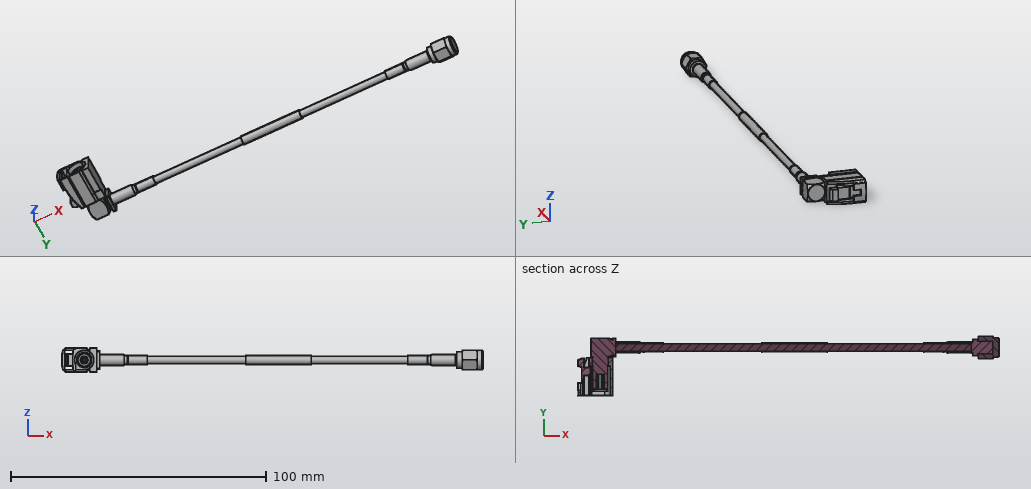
import cadquery as cq
import math

TOTAL_LENGTH = 165.1

CABLE_RADIUS = 1.5
SLEEVE_RADIUS = 1.8
LABEL_START = 72.2
LABEL_LENGTH = 25.6
SHRINK_LENGTH = 8.0
SHRINK_EDGE = 0.3

FERRULE_DIAMETER = 4.5
FERRULE_RADIUS = FERRULE_DIAMETER / 2
FERRULE_LENGTH = 9.5
FERRULE_EDGE_LENGTH = 0.7
FERRULE_EDGE_DEPTH = 0.2
NECK_RADIUS = SLEEVE_RADIUS
NECK_LENGTH = 1.2

HOUSING_WIDTH = 13.7
HOUSING_HEIGHT = 9.4
HOUSING_TOP = HOUSING_HEIGHT / 2
HOUSING_BACK = -4.0
HOUSING_FRONT = -18.8
CAVITY_RADIUS = 3.8
CAVITY_DEPTH = 11.5
CAVITY_CORNER_WIDTH = 3.3
SIDE_CHAMFER_WIDTH = 1.2
SIDE_CHAMFER_DROP = 1.0
SIDE_BULGE = 0.3
WINDOW_LEFT = 1.2
WINDOW_RIGHT = 4.3
WINDOW_HEIGHT = 7.6
BRIDGE_LENGTH = 5.0
BRIDGE_NOTCH_WIDTH = 2.5
BRIDGE_NOTCH_DEPTH = 2.8
RAIL_FRONT_X = 1.5
RAIL_BACK_X = 3.5
RAIL_MIDDLE_X = 2.0
ARM_WIDTH = 4.8
ARM_OUTER_X = 1.5
ARM_THICKNESS = 1.0
ARM_ROOT_LENGTH = 3.3
ARM_STEP_START = 8.3
ARM_STEP_LENGTH = 0.7
ARM_STEP_DEPTH = 0.5
BUTTON_START = 0.3
BUTTON_FLAT_START = 1.0
BUTTON_FLAT_END = 3.3
BUTTON_END = 3.8
GROOVE_X = 5.0
GROOVE_WIDTH = 0.7
GROOVE_DEPTH = 0.5
KEYWAY_LEFT = 9.7
KEYWAY_BOTTOM = 10.5
KEYWAY_RIGHT = 11.0
KEYWAY_DEPTH = 1.3
REAR_ROUND_LENGTH = 4.0
REAR_ROUND_PEAK_DROP = 0.7
REAR_ROUND_EDGE_DROP = 1.2

ELBOW_START = 5.1
ELBOW_END = 12.4
ELBOW_SIZE = 7.3
ELBOW_TURNED_RADIUS = 3.5
ELBOW_TURNED_SLOPE = 0.6
ELBOW_COLLAR_LENGTH = 0.7
ELBOW_NECK_RADIUS = 3.1
FLANGE_START = 13.7
FLANGE_END = 14.9
FLANGE_CHAMFER = 0.5
BARREL_X = 8.8
BARREL_RADIUS = 3.0
BARREL_COUNTERBORE_RADIUS = 2.5
BARREL_COUNTERBORE_DEPTH = 0.8
BARREL_SETBACK = 1.7
BARREL_BORE_RADIUS = 1.5
CONTACT_RADIUS = 1.0
CONTACT_SOCKET_RADIUS = 0.5
BARREL_BORE_DEPTH = 6.6

PLUG_BARREL_LENGTH = 0.5
PLUG_BARREL_RADIUS = FERRULE_RADIUS
PLUG_FLANGE_LENGTH = 2.1
PLUG_FLANGE_RADIUS = 3.3
SPIGOT_RADIUS = 2.5
NUT_LENGTH = 8.3
NUT_HEX_LENGTH = 6.0
NUT_CORNER_RADIUS = 4.5
NUT_CORNER_CHAMFER = 0.3
NUT_ROUND_DIAMETER = 7.8
NUT_ROUND_RADIUS = NUT_ROUND_DIAMETER / 2
NUT_END_CHAMFER = 0.5

NUT_START = TOTAL_LENGTH - NUT_LENGTH
PLUG_FLANGE_START = NUT_START - PLUG_FLANGE_LENGTH
PLUG_START = PLUG_FLANGE_START - PLUG_BARREL_LENGTH


def rod(start, length, radius):
    """Cylinder on the cable axis."""
    return cq.Workplane("YZ", origin=(start, 0, 0)).circle(radius).extrude(length)


def y_rod(start, end, radius):
    """Cylinder on the mating axis of the elbow, between two Y positions."""
    plane = cq.Plane(origin=(BARREL_X, start, 0), xDir=(1, 0, 0), normal=(0, -1, 0))
    return cq.Workplane(plane).circle(radius).extrude(start - end)


def box(x_range, y_range, height):
    """Block between X and Y limits, centred on Z = 0."""
    x0, x1 = x_range
    y0, y1 = y_range
    centre = ((x0 + x1) / 2, (y0 + y1) / 2, 0)
    return cq.Workplane("XY", origin=centre).box(x1 - x0, y1 - y0, height)


def housing_section():
    """XZ workplane on the back of the housing, extruding towards its mating face."""
    return cq.Workplane(cq.Plane(origin=(0, HOUSING_BACK, 0), xDir=(1, 0, 0), normal=(0, -1, 0)))


def housing_shell():
    """Outer block with chamfered corners and a slightly bulged low-X side."""
    corner_z = HOUSING_TOP - SIDE_CHAMFER_DROP
    return (
        housing_section()
        .moveTo(SIDE_BULGE + SIDE_CHAMFER_WIDTH, HOUSING_TOP)
        .lineTo(HOUSING_WIDTH, HOUSING_TOP)
        .lineTo(HOUSING_WIDTH, -HOUSING_TOP)
        .lineTo(SIDE_BULGE + SIDE_CHAMFER_WIDTH, -HOUSING_TOP)
        .lineTo(SIDE_BULGE, -corner_z)
        .threePointArc((0, 0), (SIDE_BULGE, corner_z))
        .close()
        .extrude(HOUSING_BACK - HOUSING_FRONT)
    )


def rail_relief():
    """Material removed behind the bridge, leaving rails with a curved edge."""
    bridge_back = HOUSING_FRONT + BRIDGE_LENGTH
    middle_y = (bridge_back + HOUSING_BACK) / 2
    return (
        cq.Workplane("XY", origin=(0, 0, -HOUSING_TOP))
        .moveTo(0, bridge_back)
        .lineTo(RAIL_FRONT_X, bridge_back)
        .threePointArc((RAIL_MIDDLE_X, middle_y), (RAIL_BACK_X, HOUSING_BACK))
        .lineTo(0, HOUSING_BACK)
        .close()
        .extrude(HOUSING_HEIGHT)
    )


def latch_arm():
    """Latch arm with a raised button near its back end, rooted on the housing core."""
    inner_x = ARM_OUTER_X + ARM_THICKNESS
    step_y = HOUSING_BACK - ARM_STEP_START
    root_y = HOUSING_BACK - ARM_ROOT_LENGTH - BUTTON_END
    arm = (
        cq.Workplane("XY", origin=(0, 0, -ARM_WIDTH / 2))
        .moveTo(inner_x, HOUSING_FRONT)
        .lineTo(inner_x, HOUSING_BACK - BUTTON_START)
        .lineTo(ARM_OUTER_X, HOUSING_BACK - BUTTON_START)
        .lineTo(0, HOUSING_BACK - BUTTON_FLAT_START)
        .lineTo(0, HOUSING_BACK - BUTTON_FLAT_END)
        .lineTo(ARM_OUTER_X, HOUSING_BACK - BUTTON_END)
        .lineTo(ARM_OUTER_X, step_y)
        .lineTo(ARM_OUTER_X + ARM_STEP_DEPTH, step_y - ARM_STEP_LENGTH)
        .lineTo(ARM_OUTER_X + ARM_STEP_DEPTH, HOUSING_FRONT)
        .close()
        .extrude(ARM_WIDTH)
    )
    root = box((inner_x, WINDOW_RIGHT), (root_y, HOUSING_BACK - BUTTON_END), ARM_WIDTH)
    return arm.union(root)


def long_groove(points):
    """Groove along the whole housing from (x, depth) points, on the top and the bottom face."""
    outline = [(x, HOUSING_TOP - depth) for x, depth in points]
    upper = housing_section().polyline(outline).close().extrude(HOUSING_BACK - HOUSING_FRONT)
    return upper.union(upper.mirror("XY"))


def rear_round():
    """Material removed beside the keyways at the back, leaving a rounded lower surface."""
    middle = ((KEYWAY_BOTTOM + HOUSING_WIDTH) / 2, HOUSING_TOP - REAR_ROUND_PEAK_DROP)
    upper = (
        housing_section()
        .moveTo(KEYWAY_BOTTOM, HOUSING_TOP)
        .lineTo(KEYWAY_BOTTOM, HOUSING_TOP - REAR_ROUND_EDGE_DROP)
        .threePointArc(middle, (HOUSING_WIDTH, HOUSING_TOP - REAR_ROUND_EDGE_DROP))
        .lineTo(HOUSING_WIDTH, HOUSING_TOP)
        .close()
        .extrude(REAR_ROUND_LENGTH)
    )
    return upper.union(upper.mirror("XY"))


def cavity():
    """Round mating cavity with one squared lower corner on the latch side."""
    floor_y = HOUSING_FRONT + CAVITY_DEPTH
    corner = (
        cq.Workplane("XY", origin=(BARREL_X - CAVITY_CORNER_WIDTH, HOUSING_FRONT, -CAVITY_RADIUS))
        .box(CAVITY_CORNER_WIDTH, CAVITY_DEPTH, CAVITY_RADIUS, centered=False)
    )
    return y_rod(floor_y, HOUSING_FRONT, CAVITY_RADIUS).union(corner)


def make_housing():
    bridge_back = HOUSING_FRONT + BRIDGE_LENGTH
    window = box((WINDOW_LEFT, WINDOW_RIGHT), (HOUSING_FRONT, HOUSING_BACK), WINDOW_HEIGHT)
    notch = box((0, WINDOW_LEFT), (bridge_back - BRIDGE_NOTCH_DEPTH, bridge_back), BRIDGE_NOTCH_WIDTH)
    side_groove = long_groove(
        [(GROOVE_X - GROOVE_WIDTH / 2, 0), (GROOVE_X, GROOVE_DEPTH), (GROOVE_X + GROOVE_WIDTH / 2, 0)]
    )
    keyway = long_groove([(KEYWAY_LEFT, 0), (KEYWAY_BOTTOM, KEYWAY_DEPTH), (KEYWAY_RIGHT, 0)])
    return (
        housing_shell()
        .cut(rail_relief())
        .cut(window)
        .cut(notch)
        .union(latch_arm())
        .cut(side_groove)
        .cut(keyway)
        .cut(rear_round())
        .cut(cavity())
        .cut(y_rod(HOUSING_BACK, HOUSING_FRONT, BARREL_RADIUS))
    )


def turned_envelope():
    """Round envelope that bevels both ends of the elbow block around the cable axis."""
    half_diagonal = ELBOW_SIZE / math.sqrt(2)
    run = (half_diagonal - ELBOW_TURNED_RADIUS) * ELBOW_TURNED_SLOPE
    return (
        cq.Workplane("XY")
        .moveTo(ELBOW_START, 0)
        .lineTo(ELBOW_START, ELBOW_TURNED_RADIUS)
        .lineTo(ELBOW_START + run, half_diagonal)
        .lineTo(ELBOW_END - run, half_diagonal)
        .lineTo(ELBOW_END, ELBOW_TURNED_RADIUS)
        .lineTo(ELBOW_END, 0)
        .close()
        .revolve(360, (0, 0, 0), (1, 0, 0))
    )


def make_elbow():
    block = box((ELBOW_START, ELBOW_END), (-ELBOW_SIZE / 2, ELBOW_SIZE / 2), ELBOW_SIZE)
    block = block.intersect(turned_envelope())
    collar = rod(ELBOW_END, ELBOW_COLLAR_LENGTH, ELBOW_TURNED_RADIUS)
    neck = rod(ELBOW_END, FLANGE_START - ELBOW_END, ELBOW_NECK_RADIUS)
    flange = (
        box((FLANGE_START, FLANGE_END), (-ELBOW_SIZE / 2, ELBOW_SIZE / 2), ELBOW_SIZE)
        .edges("|X")
        .chamfer(FLANGE_CHAMFER)
    )
    barrel_end = HOUSING_FRONT + BARREL_SETBACK
    bore_floor = barrel_end + BARREL_BORE_DEPTH
    counterbore_floor = barrel_end + BARREL_COUNTERBORE_DEPTH
    barrel = (
        y_rod(0, barrel_end, BARREL_RADIUS)
        .cut(y_rod(counterbore_floor, barrel_end, BARREL_COUNTERBORE_RADIUS))
        .cut(y_rod(bore_floor, counterbore_floor, BARREL_BORE_RADIUS))
        .union(y_rod(bore_floor, counterbore_floor, CONTACT_RADIUS))
        .cut(y_rod(bore_floor, counterbore_floor, CONTACT_SOCKET_RADIUS))
    )
    return block.union(collar).union(neck).union(flange).union(barrel)


def make_cable():
    return rod(FLANGE_END, PLUG_START - FLANGE_END, CABLE_RADIUS)


def make_label_sleeve():
    return rod(LABEL_START, LABEL_LENGTH, SLEEVE_RADIUS).cut(make_cable())


def make_ferrule(start, facing):
    """Crimp ferrule from a connector towards the cable; facing is +1 or -1 along X."""
    crimp = rod(start, facing * FERRULE_LENGTH, FERRULE_RADIUS)
    cable_end = ">X" if facing > 0 else "<X"
    crimp = crimp.faces(cable_end).edges().chamfer(FERRULE_EDGE_LENGTH, FERRULE_EDGE_DEPTH)
    neck = rod(start, facing * (FERRULE_LENGTH + NECK_LENGTH), NECK_RADIUS)
    return crimp.union(neck).cut(make_cable())


def make_shrink_tube(connector, facing):
    """Short tube on the cable, butted against the ferrule neck."""
    start = connector + facing * (FERRULE_LENGTH + NECK_LENGTH)
    tube = rod(start, facing * SHRINK_LENGTH, SLEEVE_RADIUS)
    ferrule_end = "<X" if facing > 0 else ">X"
    tube = tube.faces(ferrule_end).chamfer(SHRINK_EDGE)
    return tube.cut(make_cable())


def make_plug_body():
    barrel = rod(PLUG_START, PLUG_BARREL_LENGTH, PLUG_BARREL_RADIUS)
    flange = rod(PLUG_FLANGE_START, PLUG_FLANGE_LENGTH, PLUG_FLANGE_RADIUS)
    spigot = rod(NUT_START, NUT_HEX_LENGTH, SPIGOT_RADIUS)
    return barrel.union(flange).union(spigot)


def make_nut():
    round_start = NUT_START + NUT_HEX_LENGTH
    hexagon = cq.Workplane("YZ", origin=(NUT_START, 0, 0)).polygon(6, 2 * NUT_CORNER_RADIUS)
    hexagon = hexagon.extrude(NUT_HEX_LENGTH)
    bevel = rod(NUT_START, NUT_HEX_LENGTH, NUT_CORNER_RADIUS).edges().chamfer(NUT_CORNER_CHAMFER)
    end_ring = rod(round_start, TOTAL_LENGTH - round_start, NUT_ROUND_RADIUS)
    end_ring = end_ring.faces(">X").chamfer(NUT_END_CHAMFER)
    nut = hexagon.intersect(bevel).union(end_ring)
    return nut.cut(make_plug_body())


bodies = [make_housing(), make_elbow(), make_cable(), make_label_sleeve(), make_plug_body(), make_nut()]
for connector_face, cable_direction in ((FLANGE_END, 1), (PLUG_START, -1)):
    bodies.append(make_ferrule(connector_face, cable_direction))
    bodies.append(make_shrink_tube(connector_face, cable_direction))

result = cq.Compound.makeCompound([body.val() for body in bodies])